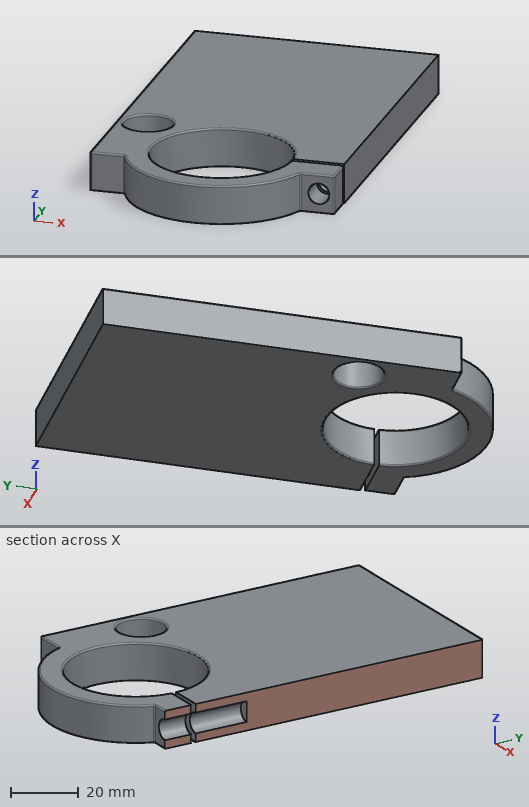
import cadquery as cq

width = 75.0
length = 128.5
thickness = 12.2
edge_radius = 0.5

ring_radius = 28.8
bore_radius = 21.5
ring_overhang = 18.8
slot_width = 1.5
slot_center_y = -0.1

side_hole_radius = 7.6
side_hole_x = -28.1
side_hole_y = 19.0

screw_radius = 3.2
screw_x = 32.8
screw_depth = 28.3

front_y = ring_overhang - ring_radius
back_y = length - ring_radius
right_x = width / 2
half_thickness = thickness / 2


def slab(x_min, x_max, y_min, y_max):
    """Full-thickness block between the given limits."""
    return (
        cq.Workplane("XY")
        .box(x_max - x_min, y_max - y_min, thickness, centered=False)
        .translate((x_min, y_min, -half_thickness))
    )


def disc(radius, x=0, y=0):
    """Full-thickness upright cylinder."""
    return (
        cq.Workplane("XY", origin=(x, y, -half_thickness))
        .circle(radius)
        .extrude(thickness)
    )


def add_rounded_hole(body, radius, x=0, y=0):
    """Cut a through hole and round its two rims, which are centred on the hole axis."""
    axis_zone = cq.selectors.BoxSelector(
        (x - edge_radius, y - edge_radius, -thickness),
        (x + edge_radius, y + edge_radius, thickness),
    )
    drilled = body.cut(disc(radius, x, y))
    return drilled.edges("%CIRCLE").edges(axis_zone).fillet(edge_radius)


def outline_body():
    """Plate and ring in one, with the convex and concave front corners rounded."""
    body = slab(-right_x, right_x, front_y, back_y).union(disc(ring_radius))
    front_corners = cq.selectors.BoxSelector(
        (-width, front_y - edge_radius, -thickness),
        (width, front_y + edge_radius, thickness),
    )
    return body.edges("|Z").edges(front_corners).fillet(edge_radius)


def break_rims(body):
    """Round the front rims, the ear's end and the upper left edge."""
    front_zone = cq.selectors.BoxSelector(
        (-width, -length, -thickness),
        (width, front_y + edge_radius, thickness),
    )
    front_rims = body.faces("|Z").edges(front_zone)
    upper_left_edge = body.faces("<X").edges(">Z")
    ear_end_edges = body.faces(">X").faces("<Y").edges("|Y")
    return front_rims.add(upper_left_edge).add(ear_end_edges).fillet(edge_radius)


def clamp_slot():
    """Slot from the bore to the right side."""
    half_width = slot_width / 2
    return slab(0, right_x, slot_center_y - half_width, slot_center_y + half_width)


def screw_hole():
    """Blind hole through the ear and into the plate across the slot."""
    return (
        cq.Workplane("XZ", origin=(screw_x, front_y, 0))
        .circle(screw_radius)
        .extrude(-screw_depth)
    )


def sharp_lower_left_edge():
    """Bar that keeps the lower left edge square behind the rounded front corner."""
    return (
        slab(-right_x, -right_x + edge_radius, front_y + edge_radius, back_y)
        .faces("<Z")
        .workplane(offset=-edge_radius)
        .split(keepBottom=False, keepTop=True)
    )


clamp = outline_body()
clamp = add_rounded_hole(clamp, bore_radius)
clamp = add_rounded_hole(clamp, side_hole_radius, side_hole_x, side_hole_y)
clamp = clamp.cut(clamp_slot())
clamp = break_rims(clamp)
clamp = clamp.union(sharp_lower_left_edge())

result = clamp.cut(screw_hole())